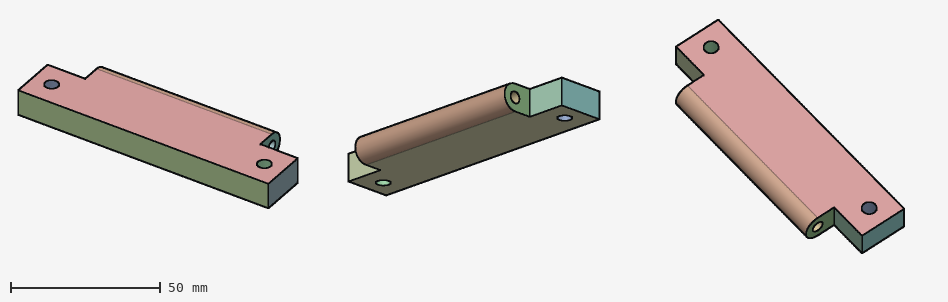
import cadquery as cq
import math

bar_length = 100.0
bar_width = 18.0
thickness = 10.0

tongue_length = 70.0
overall_width = 30.0
round_radius = thickness / 2
pivot_y = overall_width - round_radius

mount_hole_diameter = 5.0
mount_hole_spacing = 85.0
mount_hole_y = 9.0

pin_hole_diameter = 4.2
pin_hole_depth = 20.0
drill_point_angle = 118.0


def pin_hole(side):
    """Drilled hole entering the tongue end at side = -1 (-X) or +1 (+X)."""
    radius = pin_hole_diameter / 2
    point_depth = radius / math.tan(math.radians(drill_point_angle / 2))
    end_x = side * tongue_length / 2
    bottom_x = end_x - side * pin_hole_depth
    tip_x = bottom_x - side * point_depth
    half_profile = (
        cq.Workplane("XY")
        .moveTo(end_x, 0)
        .lineTo(end_x, radius)
        .lineTo(bottom_x, radius)
        .lineTo(tip_x, 0)
        .close()
    )
    drill = half_profile.revolve(360, (0, 0, 0), (1, 0, 0))
    return drill.translate((0, pivot_y, thickness / 2))


bar = cq.Workplane("XY").box(bar_length, bar_width, thickness, centered=(True, False, False))

tongue = (
    cq.Workplane("XY")
    .box(tongue_length, pivot_y, thickness, centered=(True, False, False))
)
hinge_round = (
    cq.Workplane("YZ", origin=(-tongue_length / 2, pivot_y, thickness / 2))
    .circle(round_radius)
    .extrude(tongue_length)
)

mount_holes = (
    cq.Workplane("XY")
    .pushPoints([(side * mount_hole_spacing / 2, mount_hole_y) for side in (-1, 1)])
    .circle(mount_hole_diameter / 2)
    .extrude(thickness)
)

result = bar.union(tongue).union(hinge_round).cut(mount_holes)
for end_side in (-1, 1):
    result = result.cut(pin_hole(end_side))